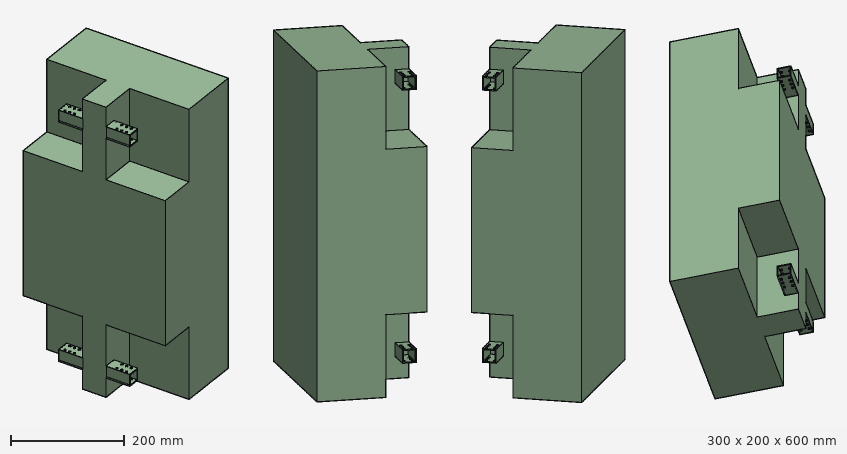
import cadquery as cq

WIDTH = 300.0
DEPTH = 200.0
HEIGHT = 600.0
FRONT_Y = -DEPTH / 2

RIB_WIDTH = 50.0
POCKET_DEPTH = 75.0
POCKET_HEIGHT = 150.0
POCKET_WIDTH = (WIDTH - RIB_WIDTH) / 2

ARM_LENGTH = 50.0
ARM_SIZE = 25.0
ARM_WALL = 2.0
ARM_END_GAP = 40.0
ARM_Y = FRONT_Y + ARM_SIZE / 2
ARM_Z = HEIGHT / 2 - ARM_END_GAP - ARM_SIZE / 2
ARM_X = (RIB_WIDTH + ARM_LENGTH) / 2
ARM_TIP_X = RIB_WIDTH / 2 + ARM_LENGTH

HOLE_DIAMETER = 4.0
HOLE_PITCH = 10.0
HOLES_PER_ROW = 3
HOLE_ROW_SPACING = 15.0

SIDES = (-1, 1)


def box_at(size, centre):
    return cq.Workplane("XY").box(*size).translate(centre)


def corner_pocket(side, end):
    return box_at(
        (POCKET_WIDTH, POCKET_DEPTH, POCKET_HEIGHT),
        (
            side * (WIDTH - POCKET_WIDTH) / 2,
            FRONT_Y + POCKET_DEPTH / 2,
            end * (HEIGHT - POCKET_HEIGHT) / 2,
        ),
    )


def arm(side, end):
    """Open-ended square tube with two rows of vertical holes near its tip."""
    centre = (side * ARM_X, ARM_Y, end * ARM_Z)
    bore_size = ARM_SIZE - 2 * ARM_WALL
    outer = box_at((ARM_LENGTH, ARM_SIZE, ARM_SIZE), centre)
    bore = box_at((ARM_LENGTH, bore_size, bore_size), centre)
    hole_points = [
        (side * (ARM_TIP_X - (index + 1) * HOLE_PITCH), ARM_Y + row * HOLE_ROW_SPACING / 2)
        for index in range(HOLES_PER_ROW)
        for row in SIDES
    ]
    holes = (
        cq.Workplane("XY", origin=(0, 0, end * ARM_Z - ARM_SIZE / 2))
        .pushPoints(hole_points)
        .circle(HOLE_DIAMETER / 2)
        .extrude(ARM_SIZE)
    )
    return outer.cut(bore).cut(holes)


result = cq.Workplane("XY").box(WIDTH, DEPTH, HEIGHT)
for side in SIDES:
    for end in SIDES:
        result = result.cut(corner_pocket(side, end)).union(arm(side, end))